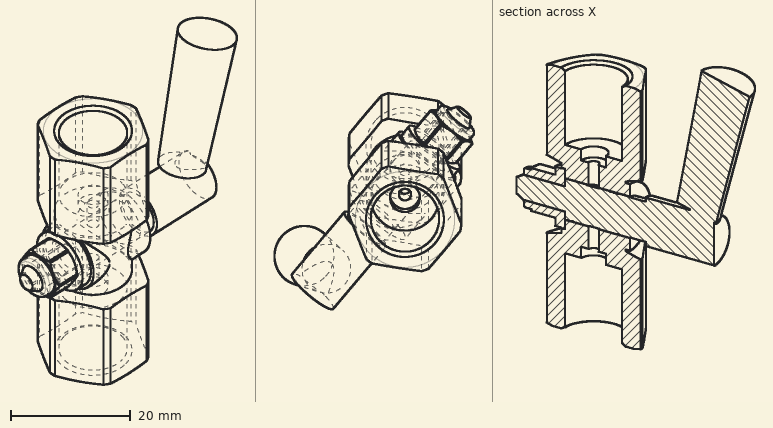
import cadquery as cq
import math

body_height = 48.0
half_height = body_height / 2
hex_flats = 17.0
hex_corner_diameter = 18.95
neck_diameter = 13.0
neck_length = 12.75
neck_half_length = neck_length / 2
chamfer_angle = math.radians(15)
end_face_diameter = 16.6
inner_face_diameter = neck_diameter

socket_diameter = 11.4
socket_mouth_diameter = 13.0
socket_mouth_angle = math.radians(30)
socket_depth = 14.0
counterbore_diameter = 5.0
counterbore_depth = 2.0
port_diameter = 2.0

boss_diameter = 12.3
boss_rear_y = 7.4
boss_front_y = -5.85

plug_diameter = 7.5
rod_diameter = 9.0
rod_front_y = 10.5
rod_rear_y = 24.4
shank_diameter = 4.75
tip_diameter = 3.0
tip_y = -15.6
grip_angle = 13.1
grip_length = 25.95
grip_base_diameter = 8.2
grip_end_diameter = 10.05
grip_end_y = 26.6
grip_end_z = 29.5

flange_diameter = 11.0
flange_front_y = -7.75
nut_flats = 8.0
nut_corner_diameter = 9.0
nut_face_diameter = 8.0
nut_front_y = -12.6
collar_diameter = 7.3
collar_front_y = -14.1
collar_round = 0.5
nut_chamfer_angle = math.radians(30)


def y_cylinder(diameter, start_y, end_y):
    """Cylinder on the Y axis between two Y positions."""
    low_y = min(start_y, end_y)
    length = abs(end_y - start_y)
    return cq.Workplane("XZ", origin=(0, low_y, 0)).circle(diameter / 2).extrude(-length)


def hex_prism(flats, length):
    """Hexagon prism up from Z = 0, with two flats facing -X and +X."""
    corner_distance = flats / math.cos(math.pi / 6)
    prism = cq.Workplane("XY").polygon(6, corner_distance).extrude(length)
    return prism.rotate((0, 0, 0), (0, 0, 1), 30)


def turned(points):
    """Solid of revolution about Z from (radius, z) points."""
    return cq.Workplane("XZ").polyline(points).close().revolve(360, (0, 0, 0), (0, 1, 0))


def hex_barrel(flats, corner_diameter, length, low_face_diameter, high_face_diameter, angle):
    """Hexagon prism with turned corners and a cone chamfer at each end."""
    corner_radius = corner_diameter / 2
    low_rise = (corner_radius - low_face_diameter / 2) * math.tan(angle)
    high_drop = (corner_radius - high_face_diameter / 2) * math.tan(angle)
    envelope = turned([
        (0, 0),
        (low_face_diameter / 2, 0),
        (corner_radius, low_rise),
        (corner_radius, length - high_drop),
        (high_face_diameter / 2, length),
        (0, length),
    ])
    return hex_prism(flats, length).intersect(envelope)


def socket_end():
    """Upper hexagon end of the housing, still solid."""
    barrel = hex_barrel(
        hex_flats,
        hex_corner_diameter,
        half_height - neck_half_length,
        inner_face_diameter,
        end_face_diameter,
        chamfer_angle,
    )
    return barrel.translate((0, 0, neck_half_length))


def socket_cutter():
    """Upper socket with a wide cone mouth, its counterbore and the port to the plug."""
    floor_z = half_height - socket_depth
    counterbore_z = floor_z - counterbore_depth
    mouth_width = (socket_mouth_diameter - socket_diameter) / 2
    mouth_depth = mouth_width * math.tan(socket_mouth_angle)
    return turned([
        (0, 0),
        (port_diameter / 2, 0),
        (port_diameter / 2, counterbore_z),
        (counterbore_diameter / 2, counterbore_z),
        (counterbore_diameter / 2, floor_z),
        (socket_diameter / 2, floor_z),
        (socket_diameter / 2, half_height - mouth_depth),
        (socket_mouth_diameter / 2, half_height),
        (0, half_height),
    ])


def make_housing():
    neck = cq.Workplane("XY").circle(neck_diameter / 2).extrude(neck_half_length, both=True)
    boss = y_cylinder(boss_diameter, boss_front_y, boss_rear_y)
    upper_end = socket_end()
    lower_end = upper_end.mirror("XY")
    housing = neck.union(boss).union(upper_end).union(lower_end)
    upper_socket = socket_cutter()
    housing = housing.cut(upper_socket).cut(upper_socket.mirror("XY"))
    plug_bore = y_cylinder(plug_diameter, boss_front_y, boss_rear_y)
    flange_seat = y_cylinder(flange_diameter, flange_front_y, boss_front_y)
    return housing.cut(plug_bore).cut(flange_seat)


def make_grip():
    """Tapered grip that leans to +Y, widest at its free end."""
    grip = turned([
        (0, -grip_length),
        (grip_base_diameter / 2, -grip_length),
        (grip_end_diameter / 2, 0),
        (0, 0),
    ])
    return grip.rotate((0, 0, 0), (1, 0, 0), -grip_angle).translate((0, grip_end_y, grip_end_z))


def make_lever():
    """Plug with its lever at the rear and a pointed shank at the front."""
    plug = y_cylinder(plug_diameter, boss_front_y, rod_front_y)
    rod = y_cylinder(rod_diameter, rod_front_y, rod_rear_y)
    shank = y_cylinder(shank_diameter, collar_front_y, boss_front_y)
    tip = (
        cq.Workplane("XZ", origin=(0, collar_front_y, 0))
        .circle(shank_diameter / 2)
        .workplane(offset=collar_front_y - tip_y)
        .circle(tip_diameter / 2)
        .loft()
    )
    return plug.union(rod).union(shank).union(tip).union(make_grip())


def make_flange_nut():
    """Hexagon nut with a round flange behind it and a rounded collar in front."""
    flange = y_cylinder(flange_diameter, flange_front_y, boss_front_y)
    hexagon = hex_barrel(
        nut_flats,
        nut_corner_diameter,
        flange_front_y - nut_front_y,
        nut_face_diameter,
        nut_face_diameter,
        nut_chamfer_angle,
    )
    hexagon = hexagon.rotate((0, 0, 0), (0, 0, 1), 90).rotate((0, 0, 0), (1, 0, 0), 90)
    hexagon = hexagon.translate((0, flange_front_y, 0))
    collar = y_cylinder(collar_diameter, collar_front_y, nut_front_y)
    collar = collar.faces("<Y").edges().fillet(collar_round)
    shank_hole = y_cylinder(shank_diameter, collar_front_y, boss_front_y)
    return flange.union(hexagon).union(collar).cut(shank_hole)


housing = make_housing().solids()
lever = make_lever().solids()
flange_nut = make_flange_nut().solids()

result = cq.Compound.makeCompound([housing.val(), lever.val(), flange_nut.val()])